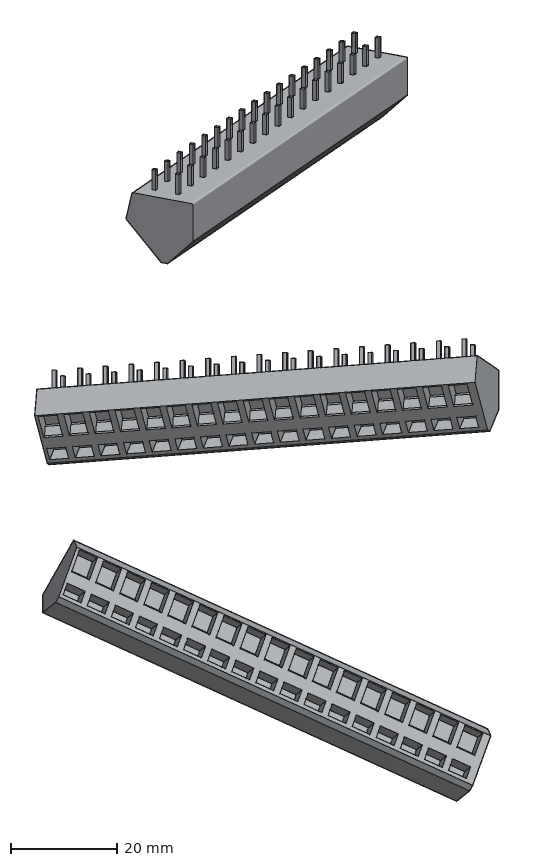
import cadquery as cq
import math

length = 87.4
width = 14.2
body_height = 13.0
pin_height = 4.0
ridge_height = 7.5
shoulder_height = 5.4
top_left_x = 1.3
top_edge_radius = 0.35

pole_count = 17
end_plate = 1.0
pitch = (length - end_plate) / pole_count
pin_size = 0.8
first_pin_x = 4.3
row_spacing = 5.0

opening_width = 3.8
wire_hole_bottom = 0.5
wire_hole_top = 2.3
wire_hole_depth = 3.5
release_slot_bottom = 4.0
release_slot_top = 7.3
slot_ledge = 0.4
slot_step_height = 1.9
slot_step_lean = math.radians(13)

pole_positions = [length / 2 - pitch * (i + 0.5) for i in range(pole_count)]


def entry_face_point(z):
    """Point of the 45 degree entry face at height z."""
    return (ridge_height - z, z)


def moved(point, dx, dz):
    return (point[0] + dx, point[1] + dz)


def extrude_profile(points, y_center, y_length):
    """Extrude a closed XZ profile symmetrically about y_center."""
    plane = cq.Workplane("XZ", origin=(0, y_center, 0))
    return plane.polyline(points).close().extrude(y_length / 2, both=True)


def make_body():
    outline = [
        (0, ridge_height),
        (ridge_height, 0),
        (width - shoulder_height, 0),
        (width, shoulder_height),
        (width, body_height),
        (top_left_x, body_height),
    ]
    body = extrude_profile(outline, 0, length)
    return body.edges("|Y and >Z").fillet(top_edge_radius)


def make_wire_hole(y):
    """Rectangular hole running square into the entry face."""
    bottom = entry_face_point(wire_hole_bottom)
    top = entry_face_point(wire_hole_top)
    run = wire_hole_depth / math.sqrt(2)
    points = [bottom, moved(bottom, run, run), moved(top, run, run), top]
    return extrude_profile(points, y, opening_width)


def make_release_slot(y):
    """Pocket square to the entry face, with a steep step between two ledges on its lower wall."""
    bottom = entry_face_point(release_slot_bottom)
    top = entry_face_point(release_slot_top)
    step_foot = moved(bottom, slot_ledge, slot_ledge)
    step_head = moved(step_foot, slot_step_height * math.tan(slot_step_lean), slot_step_height)
    floor_start = moved(step_head, slot_ledge, slot_ledge)
    run = (sum(floor_start) - sum(top)) / 2
    floor_end = moved(top, run, run)
    points = [bottom, step_foot, step_head, floor_start, floor_end, top]
    return extrude_profile(points, y, opening_width)


def make_pin(x, y):
    pin = cq.Workplane("XY", origin=(x, y, body_height))
    return pin.rect(pin_size, pin_size).extrude(pin_height)


result = make_body()
for y in pole_positions:
    result = result.cut(make_wire_hole(y))
    result = result.cut(make_release_slot(y))
    for x in (first_pin_x, first_pin_x + row_spacing):
        result = result.union(make_pin(x, y))